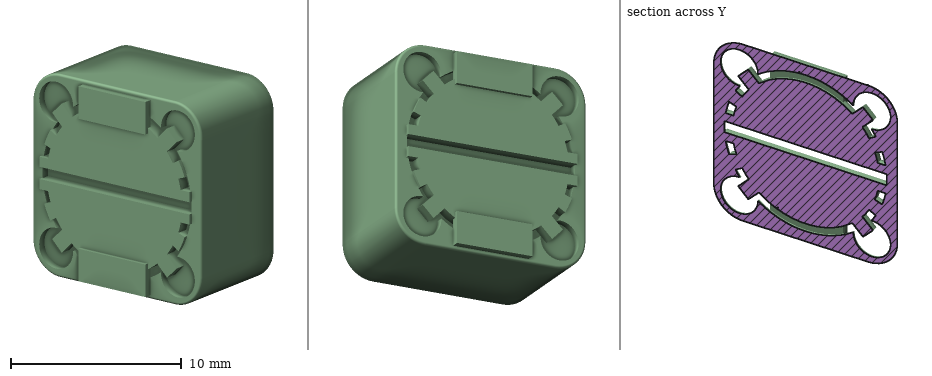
import cadquery as cq
import math


BODY_SIDE = 12.5
BODY_DEPTH = 7.0
CORNER_RADIUS = 2.0
EDGE_FILLET = 0.15

CAP_RADIUS = 5.25
CAP_HEIGHT = 0.5

BORE_RADIUS = 5.5
RELIEF_RADIUS = 1.25
RELIEF_OFFSET = 4.5
RECESS_DEPTH = 0.5

FLANGE_PROUD = 0.25
FLANGE_THICKNESS = RECESS_DEPTH + FLANGE_PROUD
FLANGE_CORE_RADIUS = 5.0
LUG_START_ANGLE = 19.5
LUG_END_ANGLE = 30.5
TAB_ANGLE = 45.0
TAB_WIDTH = 1.0
TAB_REACH = 6.0
BAR_LENGTH = 11.1
BAR_HEIGHT = 2.0
GROOVE_WIDTH = 0.75

PAD_WIDTH = 4.95
PAD_INNER_Z = 4.0
PAD_OUTER_Z = 6.0
PAD_PROUD = 0.5

TOTAL_DEPTH = CAP_HEIGHT + BODY_DEPTH + PAD_PROUD
BODY_BACK_Y = TOTAL_DEPTH / 2 - CAP_HEIGHT
BODY_FRONT_Y = BODY_BACK_Y - BODY_DEPTH
RECESS_FLOOR_Y = BODY_FRONT_Y + RECESS_DEPTH


def plane_at(y):
    """Work plane facing -Y at the given level, with local axes X and Z."""
    return cq.Workplane("XZ", origin=(0, y, 0))


def polar(radius, angle):
    """Point in the XZ plane at the given radius and angle in degrees."""
    return (radius * math.cos(math.radians(angle)), radius * math.sin(math.radians(angle)))


def make_body():
    block = plane_at(BODY_BACK_Y).rect(BODY_SIDE, BODY_SIDE).extrude(BODY_DEPTH)
    block = block.edges("|Y").fillet(CORNER_RADIUS)
    return block.faces("<Y or >Y").edges().fillet(EDGE_FILLET)


def make_cap():
    """Disc whose rim is a quarter round over the full cap height, revolved about the Y axis."""
    flat_radius = CAP_RADIUS - CAP_HEIGHT
    back_y = BODY_BACK_Y + CAP_HEIGHT
    quarter_middle = CAP_HEIGHT * math.sqrt(0.5)
    return (
        cq.Workplane("XY")
        .moveTo(0, BODY_BACK_Y)
        .lineTo(CAP_RADIUS, BODY_BACK_Y)
        .threePointArc((flat_radius + quarter_middle, BODY_BACK_Y + quarter_middle), (flat_radius, back_y))
        .lineTo(0, back_y)
        .close()
        .revolve(360, (0, 0, 0), (0, 1, 0))
    )


def make_recess():
    bore = plane_at(RECESS_FLOOR_Y).circle(BORE_RADIUS).extrude(RECESS_DEPTH)
    reliefs = (
        plane_at(RECESS_FLOOR_Y)
        .rect(2 * RELIEF_OFFSET, 2 * RELIEF_OFFSET, forConstruction=True)
        .vertices()
        .circle(RELIEF_RADIUS)
        .extrude(RECESS_DEPTH)
    )
    return bore.union(reliefs)


def make_lug_and_tab():
    """Flange projections of the +X +Z quadrant: a curved lug and a square-ended diagonal tab."""
    middle_angle = (LUG_START_ANGLE + LUG_END_ANGLE) / 2
    lug = (
        plane_at(RECESS_FLOOR_Y)
        .lineTo(*polar(BORE_RADIUS, LUG_START_ANGLE))
        .threePointArc(polar(BORE_RADIUS, middle_angle), polar(BORE_RADIUS, LUG_END_ANGLE))
        .close()
        .extrude(FLANGE_THICKNESS)
    )
    tab = (
        plane_at(RECESS_FLOOR_Y)
        .transformed(rotate=(0, 0, TAB_ANGLE))
        .center(TAB_REACH / 2, 0)
        .rect(TAB_REACH, TAB_WIDTH)
        .extrude(FLANGE_THICKNESS)
    )
    return lug.union(tab)


def make_flange():
    flange = plane_at(RECESS_FLOOR_Y).circle(FLANGE_CORE_RADIUS).extrude(FLANGE_THICKNESS)
    bar = plane_at(RECESS_FLOOR_Y).rect(BAR_LENGTH, BAR_HEIGHT).extrude(FLANGE_THICKNESS)
    right_top = make_lug_and_tab()
    right_side = right_top.union(right_top.mirror("XY"))
    flange = flange.union(bar).union(right_side).union(right_side.mirror("YZ"))
    groove = plane_at(RECESS_FLOOR_Y).rect(BAR_LENGTH, GROOVE_WIDTH).extrude(FLANGE_THICKNESS)
    return flange.cut(groove)


def make_pad():
    """Upper solder pad, lying on the body face and bridging the gap to the flange."""
    return (
        plane_at(BODY_FRONT_Y)
        .center(0, (PAD_INNER_Z + PAD_OUTER_Z) / 2)
        .rect(PAD_WIDTH, PAD_OUTER_Z - PAD_INNER_Z)
        .extrude(PAD_PROUD)
    )


upper_pad = make_pad()
result = make_body().union(make_cap()).cut(make_recess()).union(make_flange())
result = result.union(upper_pad).union(upper_pad.mirror("XY"))